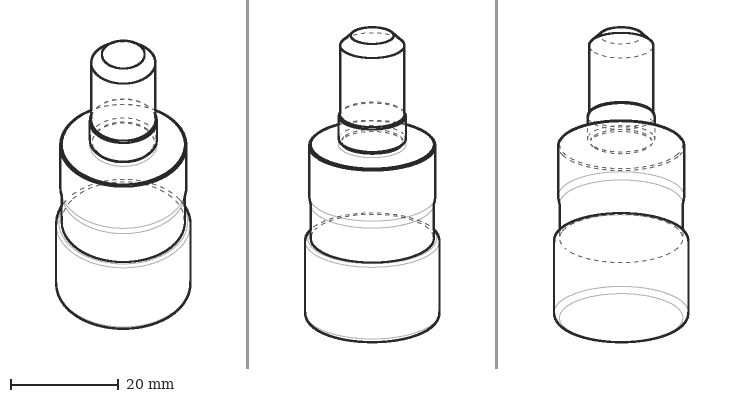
import cadquery as cq
import math

CAP_RADIUS = 25.0 / 2
CAP_HEIGHT = 16.0
CAP_TOP_FILLET = 0.5
CAP_BOTTOM_FILLET = 1.0

TOTAL_HEIGHT = 57.0
WAIST_RADIUS = 11.45
WAIST_TOP = 22.95
HEAD_RADIUS = 23.5 / 2
HEAD_BOTTOM = 24.5
HEAD_TOP = 35.0
HEAD_CHAMFER = 0.3
NECK_RADIUS = 5.75
NECK_FILLET = 0.5
NECK_TOP = 35.55
COLLAR_RADIUS = 12.5 / 2
COLLAR_BOTTOM = 36.15
COLLAR_TOP = 41.05
COLLAR_CHAMFER_HEIGHT = 0.35
STUD_RADIUS = 6.0
STUD_CHAMFER = 2.0


def make_cap():
    """Solid round cap with rounded rims."""
    cap = cq.Workplane("XY").circle(CAP_RADIUS).extrude(CAP_HEIGHT)
    cap = cap.faces(">Z").edges().fillet(CAP_TOP_FILLET)
    return cap.faces("<Z").edges().fillet(CAP_BOTTOM_FILLET)


def make_stud_body():
    """Revolved body standing on the flat top of the cap."""
    fillet_sag = NECK_FILLET * (1 - math.sqrt(0.5))
    fillet_middle = (NECK_RADIUS + fillet_sag, HEAD_TOP + fillet_sag)
    fillet_end = (NECK_RADIUS, HEAD_TOP + NECK_FILLET)

    profile = (
        cq.Workplane("XZ")
        .moveTo(0, CAP_HEIGHT)
        .lineTo(WAIST_RADIUS, CAP_HEIGHT)
        .lineTo(WAIST_RADIUS, WAIST_TOP)
        .lineTo(HEAD_RADIUS, HEAD_BOTTOM)
        .lineTo(HEAD_RADIUS, HEAD_TOP - HEAD_CHAMFER)
        .lineTo(HEAD_RADIUS - HEAD_CHAMFER, HEAD_TOP)
        .lineTo(NECK_RADIUS + NECK_FILLET, HEAD_TOP)
        .threePointArc(fillet_middle, fillet_end)
        .lineTo(NECK_RADIUS, NECK_TOP)
        .lineTo(COLLAR_RADIUS, COLLAR_BOTTOM)
        .lineTo(COLLAR_RADIUS, COLLAR_TOP - COLLAR_CHAMFER_HEIGHT)
        .lineTo(STUD_RADIUS, COLLAR_TOP)
        .lineTo(STUD_RADIUS, TOTAL_HEIGHT - STUD_CHAMFER)
        .lineTo(STUD_RADIUS - STUD_CHAMFER, TOTAL_HEIGHT)
        .lineTo(0, TOTAL_HEIGHT)
        .close()
    )
    return profile.revolve(360, (0, 0, 0), (0, 1, 0))


cap = make_cap()
stud_body = make_stud_body()
result = cq.Compound.makeCompound([cap.val(), stud_body.val()])